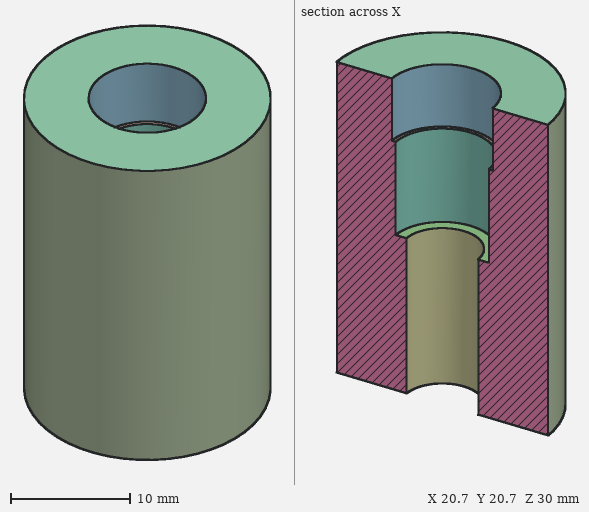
import cadquery as cq

BODY_DIAMETER = 20.7
BODY_LENGTH = 30.0
ENTRY_BORE_DIAMETER = 9.84
ENTRY_BORE_DEPTH = 6.0
MIDDLE_BORE_DIAMETER = 9.1
THROUGH_HOLE_DIAMETER = 7.0

MIDDLE_BORE_DEPTH = BODY_LENGTH / 2


def bore_from_top(diameter, depth):
    """Cylinder on the Z axis reaching down from the top face, used as a cutter."""
    return cq.Workplane("XY").workplane(offset=BODY_LENGTH - depth).circle(diameter / 2).extrude(depth)


result = cq.Workplane("XY").circle(BODY_DIAMETER / 2).extrude(BODY_LENGTH)

for bore_diameter, bore_depth in (
    (ENTRY_BORE_DIAMETER, ENTRY_BORE_DEPTH),
    (MIDDLE_BORE_DIAMETER, MIDDLE_BORE_DEPTH),
    (THROUGH_HOLE_DIAMETER, BODY_LENGTH),
):
    result = result.cut(bore_from_top(bore_diameter, bore_depth))